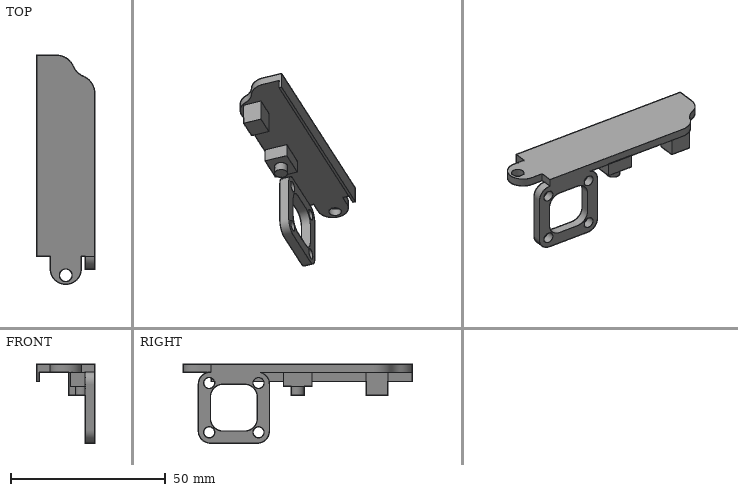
import cadquery as cq
import math


width = 18.8
length = 74.0
plate_thickness = 2.7
plate_start = 9.0
skirt_thickness = 0.9
skirt_depth = 5.6

end_radius = 6.0
end_flat = 6.4
side_arc_start = 61.65

tab_radius = 5.0
tab_x = width / 2
tab_hole_diameter = 4.0
tab_hole_y = 2.95

bracket_size = 23.0
bracket_thickness = 3.1
bracket_radius = 4.0
bracket_bottom = -25.5
bracket_start = 4.9
bracket_y = bracket_start + bracket_size / 2
bracket_z = bracket_bottom + bracket_size / 2
window_size = 15.0
window_radius = 4.0
bracket_hole_spacing = 15.9
bracket_hole_diameter = 3.5

block_x = 10.3
block_width = 6.0
block_y = 59.05
block_length = 7.0
block_bottom = -10.1

pin_x = 14.7
pin_y = 37.0
pin_diameter = 4.2
pedestal_width = 7.55
pedestal_length = 9.25
pedestal_bottom = -7.2


def box(x, y, bottom, size_x, size_y, top=0.0):
    """Box with its low corner at (x, y, bottom), reaching up to top."""
    return cq.Workplane("XY").box(size_x, size_y, top - bottom, centered=False).translate((x, y, bottom))


def make_plate():
    far_x, far_y = end_flat, length - end_radius
    side_x, side_y = width - end_radius, side_arc_start

    gap_x, gap_y = side_x - far_x, side_y - far_y
    gap = math.hypot(gap_x, gap_y)
    offset = math.sqrt((2 * end_radius) ** 2 - (gap / 2) ** 2)
    hollow_x = (far_x + side_x) / 2 - offset * gap_y / gap
    hollow_y = (far_y + side_y) / 2 + offset * gap_x / gap

    def on_arc(center_x, center_y, toward_x, toward_y):
        distance = math.hypot(toward_x, toward_y)
        return (center_x + end_radius * toward_x / distance, center_y + end_radius * toward_y / distance)

    side_joint = ((side_x + hollow_x) / 2, (side_y + hollow_y) / 2)
    far_joint = ((far_x + hollow_x) / 2, (far_y + hollow_y) / 2)
    side_middle = on_arc(side_x, side_y, end_radius + side_joint[0] - side_x, side_joint[1] - side_y)
    hollow_middle = on_arc(hollow_x, hollow_y, gap_y, -gap_x)
    far_middle = on_arc(far_x, far_y, far_joint[0] - far_x, end_radius + far_joint[1] - far_y)

    return (
        cq.Workplane("XY")
        .moveTo(0, plate_start)
        .lineTo(width, plate_start)
        .lineTo(width, side_arc_start)
        .threePointArc(side_middle, side_joint)
        .threePointArc(hollow_middle, far_joint)
        .threePointArc(far_middle, (end_flat, length))
        .lineTo(0, length)
        .close()
        .extrude(-plate_thickness)
    )


def make_skirt():
    return box(0, plate_start, -skirt_depth, skirt_thickness, length - plate_start)


def make_tab():
    tongue = box(
        tab_x - tab_radius, tab_radius, -plate_thickness, 2 * tab_radius, plate_start - tab_radius
    )
    tip = cq.Workplane("XY").center(tab_x, tab_radius).circle(tab_radius).extrude(-plate_thickness)
    hole = cq.Workplane("XY").center(tab_x, tab_hole_y).circle(tab_hole_diameter / 2).extrude(-plate_thickness)
    return tongue.union(tip).cut(hole)


def make_bracket():
    face = cq.Workplane("YZ", origin=(width - bracket_thickness, bracket_y, bracket_z))
    frame = face.rect(bracket_size, bracket_size).extrude(bracket_thickness)
    window = face.rect(window_size, window_size).extrude(bracket_thickness)
    holes = (
        face.rect(bracket_hole_spacing, bracket_hole_spacing, forConstruction=True)
        .vertices()
        .circle(bracket_hole_diameter / 2)
        .extrude(bracket_thickness)
    )
    frame = frame.edges("|X").fillet(bracket_radius)
    window = window.edges("|X").fillet(window_radius)
    return frame.cut(window).cut(holes)


def make_block():
    return box(block_x, block_y, block_bottom, block_width, block_length, -plate_thickness)


def make_pin():
    pedestal = box(
        pin_x - pedestal_width / 2,
        pin_y - pedestal_length / 2,
        pedestal_bottom,
        pedestal_width,
        pedestal_length,
        -plate_thickness,
    )
    pin = (
        cq.Workplane("XY", origin=(pin_x, pin_y, block_bottom))
        .circle(pin_diameter / 2)
        .extrude(pedestal_bottom - block_bottom)
    )
    return pedestal.union(pin)


result = make_plate()
for feature in (make_skirt(), make_tab(), make_bracket(), make_block(), make_pin()):
    result = result.union(feature)